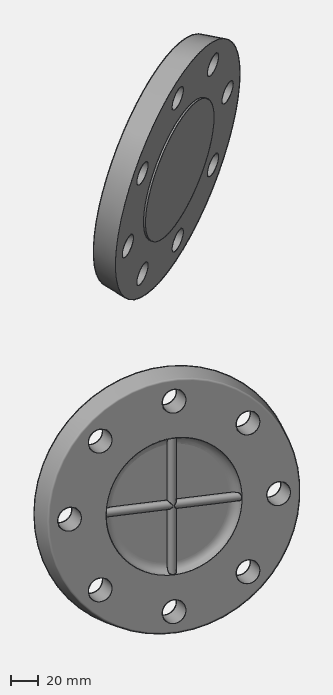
import cadquery as cq
import math

outer_diameter = 200.0
flange_thickness = 20.0
rim_draft_angle = 10.0
rim_edge_fillet = 1.5

raised_face_diameter = 110.0
raised_face_height = 1.5

bolt_hole_count = 8
bolt_hole_diameter = 18.0
bolt_circle_diameter = 160.0

pocket_floor_diameter = 90.0
pocket_wall_radius = 7.0

rib_width = 6.0
rib_height = 6.0


def flange_disc():
    """Tapered disc, smaller at the pocketed face, with a rounded front edge."""
    outer_radius = outer_diameter / 2
    front_radius = outer_radius - flange_thickness * math.tan(math.radians(rim_draft_angle))
    profile = (
        cq.Workplane("XY")
        .polyline([(0, 0), (0, front_radius), (flange_thickness, outer_radius), (flange_thickness, 0)])
        .close()
    )
    disc = profile.revolve(360, (0, 0, 0), (1, 0, 0))
    return disc.faces("<X").edges().fillet(rim_edge_fillet)


def raised_face():
    return (
        cq.Workplane("YZ", origin=(flange_thickness, 0, 0))
        .circle(raised_face_diameter / 2)
        .extrude(raised_face_height)
    )


def bolt_holes():
    return (
        cq.Workplane("YZ")
        .polarArray(bolt_circle_diameter / 2, 0, 360, bolt_hole_count)
        .circle(bolt_hole_diameter / 2)
        .extrude(flange_thickness)
    )


def pocket():
    """Solid to remove: flat floor and a quarter-round wall up to the flange face."""
    floor_radius = pocket_floor_diameter / 2
    wall_middle = pocket_wall_radius * math.sqrt(0.5)
    profile = (
        cq.Workplane("XY")
        .lineTo(0, floor_radius + pocket_wall_radius)
        .threePointArc((wall_middle, floor_radius + wall_middle), (pocket_wall_radius, floor_radius))
        .lineTo(pocket_wall_radius, 0)
        .close()
    )
    return profile.revolve(360, (0, 0, 0), (1, 0, 0))


def rib():
    """Rib along Z with a half-round crest, spanning the whole pocket."""
    half_width = rib_width / 2
    crest_x = pocket_wall_radius - rib_height
    flank_top_x = crest_x + half_width
    length = pocket_floor_diameter + 2 * pocket_wall_radius
    return (
        cq.Workplane("XY", origin=(0, 0, -length / 2))
        .moveTo(pocket_wall_radius, -half_width)
        .lineTo(flank_top_x, -half_width)
        .threePointArc((crest_x, 0), (flank_top_x, half_width))
        .lineTo(pocket_wall_radius, half_width)
        .close()
        .extrude(length)
    )


result = flange_disc().union(raised_face()).cut(bolt_holes()).cut(pocket())
for turn in (0, 90):
    result = result.union(rib().rotate((0, 0, 0), (1, 0, 0), turn))